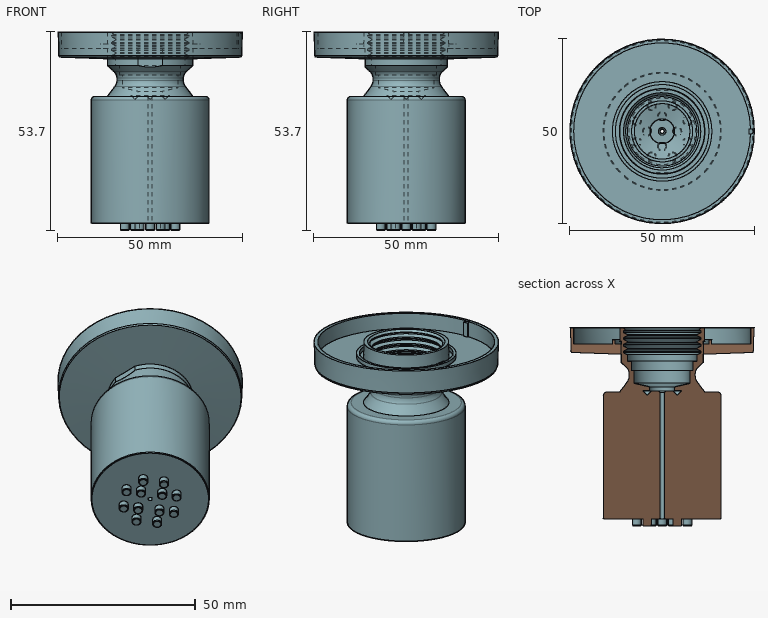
import cadquery as cq
import math

TOTAL_HEIGHT = 53.7
DISH_RIM_RADIUS = 50.0 / 2
DISH_FOOT_RADIUS = 24.8
DISH_INNER_RADIUS = 23.95
DISH_FLOOR_Z = 49.35
DISH_WALL_BOTTOM_Z = 47.4
DISH_EDGE_BREAK_WIDTH = 0.2
DISH_EDGE_BREAK_HEIGHT = 0.5
DISH_UNDERSIDE_DROP = 0.5
COLLAR_OUTER_RADIUS = 13.5
COLLAR_INNER_RADIUS = 12.7
COLLAR_HEIGHT = 1.15

KEY_WIDTH = 1.4
KEY_INNER_RADIUS = 23.45
KEY_OUTER_RADIUS = 24.65
KEY_CORNER_RADIUS = 0.65
KEY_TOP_DEPTH = 0.3

PIN_LENGTH = 1.9
PIN_RADIUS = 1.25
PIN_END_CHAMFER = 0.2
OUTER_PIN_COUNT = 8
OUTER_PIN_CIRCLE_RADIUS = 7.4
INNER_PIN_COUNT = 4
INNER_PIN_CIRCLE_RADIUS = 4.1

BARREL_RADIUS = 16.0
BARREL_TOP_Z = 36.35
BARREL_TOP_FILLET = 1.1
BARREL_BOTTOM_CHAMFER = 0.2

WAIST_RADIUS = 9.0
WAIST_BOTTOM_Z = 40.65
WAIST_TOP_Z = 41.25
WAIST_LOWER_FILLET = 2.7
WAIST_UPPER_FILLET = 2.4
LOWER_FLARE_ANGLE = math.radians(37)
UPPER_FLARE_ANGLE = math.radians(47)

NECK_RADIUS = 11.6
NECK_RIM_RADIUS = 11.5
NECK_FLAT_DISTANCE = 11.1
NECK_FLAT_TOP_Z = 50.0

THREAD_PITCH = 1.8
THREAD_MAJOR_RADIUS = 10.45
THREAD_MINOR_RADIUS = 9.4
THREAD_FLANK_ANGLE = math.radians(27.5)
THREAD_GROOVE_COUNT = 4
MOUTH_RADIUS = 10.45

SOCKET_BOTTOM_Z = 44.7
STEP_RADIUS = 8.25
STEP_BOTTOM_Z = 42.15
WELL_RADIUS = 7.5
WELL_BOTTOM_Z = 38.65
FUNNEL_DEPTH = 0.95
THROAT_RADIUS = 3.35
THROAT_DEPTH = 1.1
CENTRE_HOLE_RADIUS = 0.55
COUNTERSINK_RADIUS = 1.0
DIMPLE_RADIUS = 1.15

FUNNEL_BOTTOM_Z = WELL_BOTTOM_Z - FUNNEL_DEPTH
THROAT_FLOOR_Z = FUNNEL_BOTTOM_Z - THROAT_DEPTH


def revolve(outline):
    """Turn a closed (radius, height) outline around the Z axis."""
    return outline.close().revolve(360, (0, 0, 0), (0, 1, 0))


def profile(points):
    return cq.Workplane("XZ").polyline(points)


def cylinder(radius, bottom, top):
    return cq.Workplane("XY").workplane(offset=bottom).circle(radius).extrude(top - bottom)


def ring_positions(radius, count, first_angle=0.0):
    return cq.Workplane("XY").polarArray(radius, first_angle, 360, count)


def double_flat_bar(bottom, top):
    """Round bar of the neck radius with its two flats."""
    slab = cq.Workplane("XY").workplane(offset=bottom)
    slab = slab.rect(2 * NECK_RADIUS, 2 * NECK_FLAT_DISTANCE).extrude(top - bottom)
    return cylinder(NECK_RADIUS, bottom, top).intersect(slab)


def key_prism(bottom, top):
    """Upright key block, rounded at its two outer corners."""
    length = KEY_OUTER_RADIUS - KEY_INNER_RADIUS
    block = cq.Workplane("XY").box(length, KEY_WIDTH, top - bottom, centered=(False, True, False))
    block = block.edges("|Z and >X").fillet(KEY_CORNER_RADIUS)
    return block.translate((KEY_INNER_RADIUS, 0, bottom))


def make_dish():
    underside_edge_z = DISH_WALL_BOTTOM_Z - DISH_EDGE_BREAK_HEIGHT
    underside_centre_z = underside_edge_z - DISH_UNDERSIDE_DROP
    collar_top_z = DISH_FLOOR_Z + COLLAR_HEIGHT
    blank_inner_radius = NECK_FLAT_DISTANCE / 2
    dish = revolve(profile([
        (blank_inner_radius, underside_centre_z),
        (NECK_FLAT_DISTANCE, underside_centre_z),
        (DISH_FOOT_RADIUS - DISH_EDGE_BREAK_WIDTH, underside_edge_z),
        (DISH_FOOT_RADIUS, DISH_WALL_BOTTOM_Z),
        (DISH_RIM_RADIUS, TOTAL_HEIGHT),
        (DISH_INNER_RADIUS, TOTAL_HEIGHT),
        (DISH_INNER_RADIUS, DISH_FLOOR_Z),
        (COLLAR_OUTER_RADIUS, DISH_FLOOR_Z),
        (COLLAR_OUTER_RADIUS, collar_top_z),
        (COLLAR_INNER_RADIUS, collar_top_z),
        (COLLAR_INNER_RADIUS, DISH_FLOOR_Z),
        (blank_inner_radius, DISH_FLOOR_Z),
    ]))
    dish = dish.cut(double_flat_bar(underside_centre_z, DISH_FLOOR_Z))
    key_top_z = TOTAL_HEIGHT - KEY_TOP_DEPTH
    dish = dish.union(key_prism(DISH_FLOOR_Z, key_top_z))
    return dish.cut(key_prism(key_top_z, TOTAL_HEIGHT))


def make_connector_blank():
    """Solid barrel, waist and neck."""
    lower_arc_end = (
        WAIST_RADIUS + WAIST_LOWER_FILLET * (1 - math.cos(LOWER_FLARE_ANGLE)),
        WAIST_BOTTOM_Z - WAIST_LOWER_FILLET * math.sin(LOWER_FLARE_ANGLE),
    )
    upper_arc_end = (
        WAIST_RADIUS + WAIST_UPPER_FILLET * (1 - math.cos(UPPER_FLARE_ANGLE)),
        WAIST_TOP_Z + WAIST_UPPER_FILLET * math.sin(UPPER_FLARE_ANGLE),
    )
    flare_foot_radius = lower_arc_end[0] + (lower_arc_end[1] - BARREL_TOP_Z) * math.tan(LOWER_FLARE_ANGLE)
    neck_bottom_z = upper_arc_end[1] + (NECK_RADIUS - upper_arc_end[0]) / math.tan(UPPER_FLARE_ANGLE)
    outline = (
        cq.Workplane("XZ")
        .moveTo(0, PIN_LENGTH)
        .lineTo(BARREL_RADIUS - BARREL_BOTTOM_CHAMFER, PIN_LENGTH)
        .lineTo(BARREL_RADIUS, PIN_LENGTH + BARREL_BOTTOM_CHAMFER)
        .lineTo(BARREL_RADIUS, BARREL_TOP_Z - BARREL_TOP_FILLET)
        .tangentArcPoint((BARREL_RADIUS - BARREL_TOP_FILLET, BARREL_TOP_Z), relative=False)
        .lineTo(flare_foot_radius, BARREL_TOP_Z)
        .lineTo(*lower_arc_end)
        .tangentArcPoint((WAIST_RADIUS, WAIST_BOTTOM_Z), relative=False)
        .lineTo(WAIST_RADIUS, WAIST_TOP_Z)
        .tangentArcPoint(upper_arc_end, relative=False)
        .lineTo(NECK_RADIUS, neck_bottom_z)
        .lineTo(NECK_RADIUS, DISH_FLOOR_Z)
        .lineTo(NECK_RIM_RADIUS, TOTAL_HEIGHT)
        .lineTo(0, TOTAL_HEIGHT)
    )
    return revolve(outline)


def cut_neck_flats(connector):
    round_bar = cylinder(NECK_RADIUS, WAIST_TOP_Z, NECK_FLAT_TOP_Z)
    return connector.cut(round_bar.cut(double_flat_bar(WAIST_TOP_Z, NECK_FLAT_TOP_Z)))


def cut_socket(connector):
    """Stepped bore with lead-in, funnel, throat and countersunk centre hole."""
    lead_in_depth = MOUTH_RADIUS - THREAD_MINOR_RADIUS
    countersink_depth = COUNTERSINK_RADIUS - CENTRE_HOLE_RADIUS
    return connector.cut(revolve(profile([
        (0, TOTAL_HEIGHT),
        (MOUTH_RADIUS, TOTAL_HEIGHT),
        (THREAD_MINOR_RADIUS, TOTAL_HEIGHT - lead_in_depth),
        (THREAD_MINOR_RADIUS, SOCKET_BOTTOM_Z),
        (STEP_RADIUS, SOCKET_BOTTOM_Z),
        (STEP_RADIUS, STEP_BOTTOM_Z),
        (WELL_RADIUS, STEP_BOTTOM_Z),
        (WELL_RADIUS, WELL_BOTTOM_Z),
        (THROAT_RADIUS, FUNNEL_BOTTOM_Z),
        (THROAT_RADIUS, THROAT_FLOOR_Z),
        (COUNTERSINK_RADIUS, THROAT_FLOOR_Z),
        (CENTRE_HOLE_RADIUS, THROAT_FLOOR_Z - countersink_depth),
        (CENTRE_HOLE_RADIUS, 0),
        (0, 0),
    ])))


def cut_thread_grooves(connector):
    """Ring grooves of thread form, one pitch apart."""
    flank_height = (THREAD_MAJOR_RADIUS - THREAD_MINOR_RADIUS) * math.tan(THREAD_FLANK_ANGLE)
    flat_height = THREAD_PITCH / 2 - flank_height
    for index in range(THREAD_GROOVE_COUNT):
        groove_top_z = TOTAL_HEIGHT - index * THREAD_PITCH - flat_height
        root_top_z = groove_top_z - flank_height
        root_bottom_z = root_top_z - flat_height
        connector = connector.cut(revolve(profile([
            (WELL_RADIUS, groove_top_z),
            (THREAD_MINOR_RADIUS, groove_top_z),
            (THREAD_MAJOR_RADIUS, root_top_z),
            (THREAD_MAJOR_RADIUS, root_bottom_z),
            (THREAD_MINOR_RADIUS, root_bottom_z - flank_height),
            (WELL_RADIUS, root_bottom_z - flank_height),
        ])))
    return connector


def cut_throat_dimples(connector):
    """45 degree dimples in line with the inner pins, partly undercutting the throat wall."""
    tip = cq.Vector(0, 0, THROAT_FLOOR_Z - DIMPLE_RADIUS)
    cone = cq.Solid.makeCone(0, DIMPLE_RADIUS, DIMPLE_RADIUS, pnt=tip)
    dimples = ring_positions(INNER_PIN_CIRCLE_RADIUS, INNER_PIN_COUNT).eachpoint(cone, combine=False)
    return connector.cut(dimples)


def add_pins(connector, circle_radius, count, first_angle):
    pins = ring_positions(circle_radius, count, first_angle).circle(PIN_RADIUS).extrude(PIN_LENGTH)
    return connector.union(pins.faces("<Z").chamfer(PIN_END_CHAMFER))


def make_connector():
    connector = make_connector_blank()
    connector = cut_neck_flats(connector)
    connector = cut_socket(connector)
    connector = cut_thread_grooves(connector)
    connector = cut_throat_dimples(connector)
    connector = add_pins(connector, OUTER_PIN_CIRCLE_RADIUS, OUTER_PIN_COUNT, 180 / OUTER_PIN_COUNT)
    return add_pins(connector, INNER_PIN_CIRCLE_RADIUS, INNER_PIN_COUNT, 0)


dish = make_dish()
connector = make_connector()

result = cq.Compound.makeCompound([dish.solids().val(), connector.solids().val()])